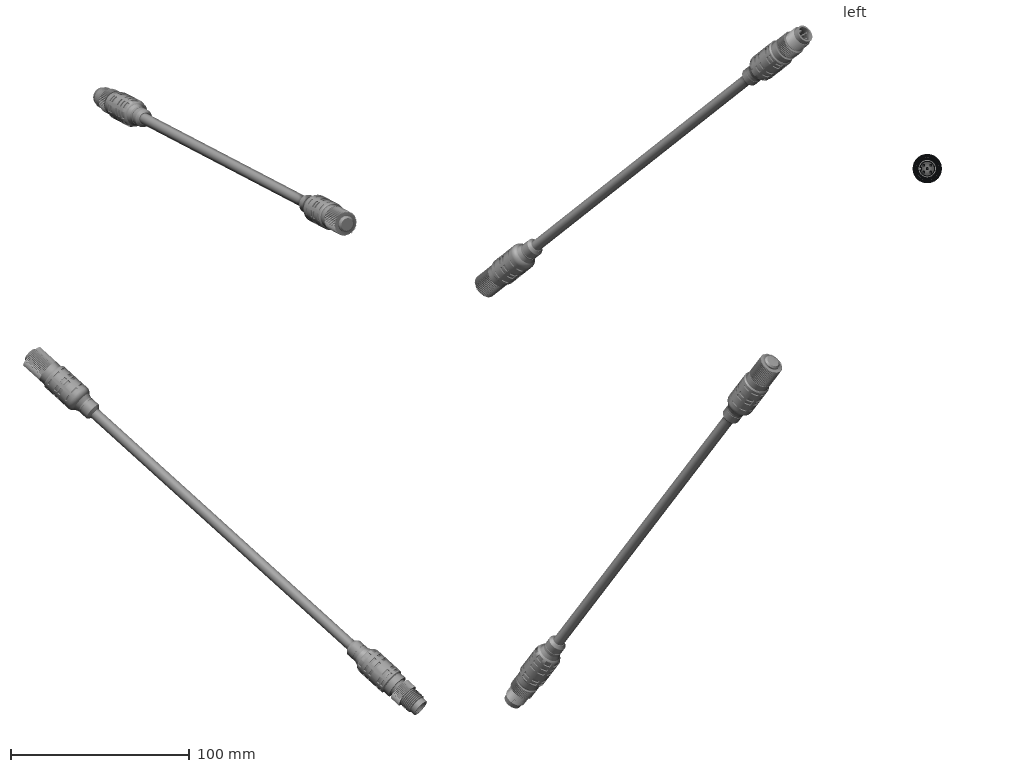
import cadquery as cq
import math

length = 303.0
cable_diameter = 6.5

grip_diameter = 15.8
shoulder_diameter = 12.0
sleeve_diameter = 10.3
sleeve_chamfer = 1.5
sleeve_line_depth = 0.3
sleeve_line_width = 0.5
shoulder_length = 3.0
neck_down_length = 2.5
grip_front_chamfer = 0.5

groove_depth = 0.75
arc_count = 8
arc_angle = 30.0
pitch_angle = 360.0 / arc_count

plug_nose_end = 3.0
thread_end = 10.3
plug_nut_start = 10.3
plug_nut_end = 16.5
plug_collar_start = 18.2
plug_grip_start = 22.0
plug_grip_end = 40.3
plug_sleeve_line = 47.5
plug_sleeve_end = 53.5
plug_grooves = [(23.3, 24.8), (25.7, 27.5), (32.5, 34.0), (36.0, 37.5), (39.7, 42.7)]

socket_nose_length = 1.8
socket_nut_end = 14.5
socket_grip_start = 18.5
socket_grip_end = 37.5
socket_sleeve_line = 44.0
socket_sleeve_end = 50.5
socket_grooves = [(20.5, 21.5), (25.5, 27.3), (28.2, 30.0), (34.2, 35.0)]

nose_diameter = 10.3
neck_diameter = 11.0
collar_diameter = 14.0
nut_diameter = 14.0
socket_nose_diameter = 9.0
socket_nose_chamfer = 1.0
knurl_count = 48
knurl_depth = 0.45

thread_diameter = 12.0
thread_pitch = 1.0
thread_depth = 0.5

bore_diameter = 8.2
bore_depth = 8.0
key_width = 1.5
key_height = 1.0
pin_diameter = 1.0
pin_length = 6.7
pin_circle_diameter = 5.5
pin_count = 4


def rod(start, end, diameter):
    return cq.Workplane("YZ", origin=(start, 0, 0)).circle(diameter / 2).extrude(end - start)


def ring(start, end, outer_diameter, inner_diameter):
    return rod(start, end, outer_diameter).cut(rod(start, end, inner_diameter))


def grip(collar_start, grip_start, grip_end, sleeve_line, sleeve_end, grooves):
    """Moulded handle with its collar towards x = 0 and its cable sleeve towards +X."""
    collar_radius = collar_diameter / 2
    grip_radius = grip_diameter / 2
    shoulder_radius = shoulder_diameter / 2
    sleeve_radius = sleeve_diameter / 2
    shoulder_end = grip_end + shoulder_length
    body = (
        cq.Workplane("XY")
        .moveTo(collar_start, 0)
        .lineTo(collar_start, collar_radius)
        .lineTo(grip_start, collar_radius)
        .lineTo(grip_start, grip_radius - grip_front_chamfer)
        .lineTo(grip_start + grip_front_chamfer, grip_radius)
        .lineTo(grip_end, grip_radius)
        .tangentArcPoint((shoulder_end, shoulder_radius), relative=False)
        .lineTo(shoulder_end + neck_down_length, sleeve_radius)
        .lineTo(sleeve_end - sleeve_chamfer, sleeve_radius)
        .lineTo(sleeve_end, sleeve_radius - sleeve_chamfer)
        .lineTo(sleeve_end, 0)
        .close()
        .revolve(360, (0, 0, 0), (1, 0, 0))
    )
    for start, end in grooves:
        body = body.cut(groove_arcs(start, end))
    line_floor = sleeve_diameter - 2 * sleeve_line_depth
    return body.cut(ring(sleeve_line, sleeve_line + sleeve_line_width, sleeve_diameter, line_floor))


def groove_arcs(start, end):
    """Ring-shaped cutter interrupted by the ribs; arcs are centred on the Y and Z axes."""
    floor_radius = grip_diameter / 2 - groove_depth
    arc = (
        cq.Workplane("XY")
        .moveTo(start, floor_radius)
        .lineTo(end, floor_radius)
        .lineTo(end, grip_diameter)
        .lineTo(start, grip_diameter)
        .close()
        .revolve(arc_angle, (0, 0, 0), (1, 0, 0))
    )
    arcs = cq.Workplane("XY")
    for index in range(arc_count):
        turn = index * pitch_angle - arc_angle / 2
        arcs = arcs.add(arc.rotate((0, 0, 0), (1, 0, 0), turn))
    return arcs.combine()


def knurled_nut(start, end):
    """Nut with a saw-toothed rim of straight knurls."""
    crest = nut_diameter / 2
    root = crest - knurl_depth
    points = []
    for index in range(2 * knurl_count):
        radius = crest if index % 2 == 0 else root
        angle = math.pi * index / knurl_count
        points.append((radius * math.cos(angle), radius * math.sin(angle)))
    return cq.Workplane("YZ", origin=(start, 0, 0)).polyline(points).close().extrude(end - start)


def thread(start, end):
    """Screw thread modelled as a stack of V-shaped rings."""
    crest = thread_diameter / 2
    root = crest - thread_depth
    turns = int((end - start) / thread_pitch)
    points = [(start, 0), (start, root)]
    for turn in range(turns):
        turn_start = start + turn * thread_pitch
        points.append((turn_start + thread_pitch / 2, crest))
        points.append((turn_start + thread_pitch, root))
    points.append((start + turns * thread_pitch, 0))
    return cq.Workplane("XY").polyline(points).close().revolve(360, (0, 0, 0), (1, 0, 0))


def plug():
    body = grip(plug_collar_start, plug_grip_start, plug_grip_end,
                plug_sleeve_line, plug_sleeve_end, plug_grooves)
    body = body.union(rod(0, plug_nose_end, nose_diameter))
    body = body.union(thread(plug_nose_end, thread_end))
    body = body.union(rod(plug_nose_end, plug_collar_start, neck_diameter))
    body = body.union(knurled_nut(plug_nut_start, plug_nut_end))
    body = body.cut(rod(0, bore_depth, bore_diameter))

    key_inner = bore_diameter / 2 - key_height
    key_outer = (bore_diameter + nose_diameter) / 4
    key = (
        cq.Workplane("XY", origin=(0, key_inner, 0))
        .box(bore_depth, key_outer - key_inner, key_width, centered=(False, False, True))
    )
    body = body.union(key)

    pins = (
        cq.Workplane("YZ", origin=(bore_depth - pin_length, 0, 0))
        .polarArray(pin_circle_diameter / 2, 180 / pin_count, 360, pin_count)
        .circle(pin_diameter / 2)
        .extrude(pin_length)
    )
    pins = pins.union(rod(bore_depth - pin_length, bore_depth, pin_diameter))
    return body.union(pins)


def socket():
    """Socket with its mating face at x = 0, as if it were the plug end."""
    body = grip(socket_nut_end, socket_grip_start, socket_grip_end,
                socket_sleeve_line, socket_sleeve_end, socket_grooves)
    body = body.union(knurled_nut(socket_nose_length, socket_nut_end))
    nose = rod(0, socket_nose_length, socket_nose_diameter).faces("<X").chamfer(socket_nose_chamfer)
    return body.union(nose)


socket_in_place = socket().mirror("YZ").translate((length, 0, 0))
cable = rod(plug_sleeve_end, length - socket_sleeve_end, cable_diameter)
result = plug().union(cable).union(socket_in_place)